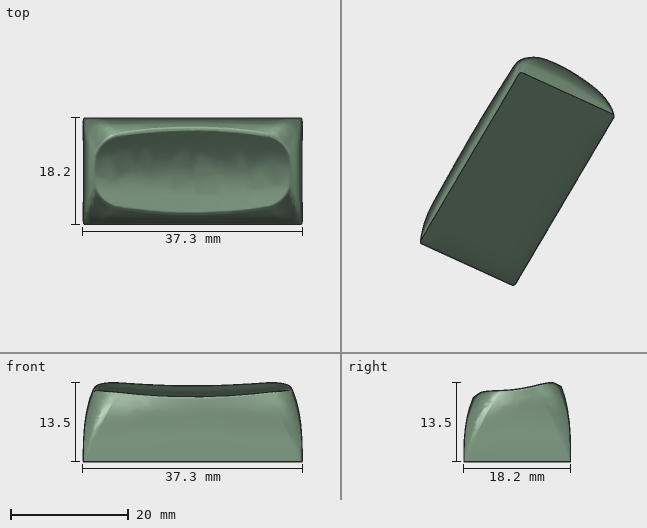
import cadquery as cq

LENGTH = 37.25
WIDTH = 18.2

TOP_HEIGHT = 14.13
TOP_TILT = 8.5
TOP_INSET = 2.6
TOP_BOW = 1.7
BASE_CORNER_RADIUS = 0.5
TOP_CORNER_RADIUS = 5.0
NARROWING_POWER = 3
SECTION_COUNT = 4

DISH_DEPTH_MIDDLE = 3.05
DISH_RIM_DROP = 0.5
DISH_DEPTH_END = 1.3
DISH_SPREAD = 2.0
RIM_FILLET = 0.6


def outline(fraction):
    """Rounded outline at a fraction of the height; its sides bow outwards on the way up."""
    narrowing = fraction**NARROWING_POWER
    bow = TOP_BOW * narrowing
    radius = BASE_CORNER_RADIUS + fraction * (TOP_CORNER_RADIUS - BASE_CORNER_RADIUS)
    x_side = LENGTH / 2 - TOP_INSET * narrowing
    y_side = WIDTH / 2 - TOP_INSET * narrowing
    if bow == 0:
        sketch = cq.Sketch().rect(2 * x_side, 2 * y_side)
    else:
        x_corner = x_side - bow
        y_corner = y_side - bow
        sketch = (
            cq.Sketch()
            .arc((-x_corner, -y_corner), (-x_side, 0), (-x_corner, y_corner))
            .arc((-x_corner, y_corner), (0, y_side), (x_corner, y_corner))
            .arc((x_corner, y_corner), (x_side, 0), (x_corner, -y_corner))
            .arc((x_corner, -y_corner), (0, -y_side), (-x_corner, -y_corner))
            .assemble()
        )
    lift = cq.Vector(0, 0, fraction * TOP_HEIGHT)
    placement = cq.Location(lift, cq.Vector(1, 0, 0), fraction * TOP_TILT)
    return sketch.vertices().fillet(radius).moved(placement)


def make_body():
    last = SECTION_COUNT - 1
    sections = [outline(index / last) for index in range(SECTION_COUNT)]
    return cq.Workplane("XY").placeSketch(*sections).loft()


def dish_profile(plane, half_width, end_height, depth):
    """Arc-bottomed profile of the dish, closed well above the body."""
    return (
        plane.moveTo(-half_width, end_height)
        .threePointArc((0, -depth), (half_width, end_height))
        .lineTo(WIDTH / 2, TOP_HEIGHT)
        .lineTo(-WIDTH / 2, TOP_HEIGHT)
        .close()
    )


def make_dish():
    """Cutter that is shallow at both ends and deep at mid length."""
    plane = cq.Workplane("YZ").transformed(
        offset=cq.Vector(0, TOP_HEIGHT, LENGTH / 2), rotate=cq.Vector(0, 0, TOP_TILT)
    )
    end_half_width = WIDTH / 2 - DISH_SPREAD
    middle_half_width = WIDTH / 2 + DISH_SPREAD
    profiles = dish_profile(plane, end_half_width, 0, DISH_DEPTH_END)
    profiles = profiles.workplane(offset=-LENGTH / 2)
    profiles = dish_profile(profiles, middle_half_width, -DISH_RIM_DROP, DISH_DEPTH_MIDDLE)
    profiles = profiles.workplane(offset=-LENGTH / 2)
    profiles = dish_profile(profiles, end_half_width, 0, DISH_DEPTH_END)
    return profiles.loft(combine=False)


body = make_body().cut(make_dish())

result = body.faces(">Z").edges().fillet(RIM_FILLET)